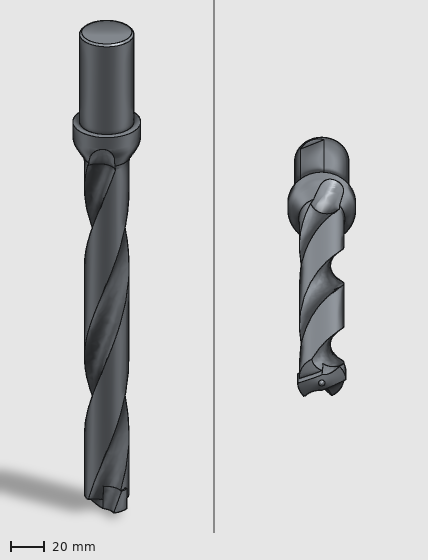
import cadquery as cq

length = 318.0

shank_radius = 16.05
shank_chamfer = 1.3
flat_depth = 2.0
flat_top_gap = 3.0
flat_bottom_gap = 2.2

collar_radius = 20.0
collar_top = 258.2
collar_bottom = 250.3
taper_mid_radius = 18.0
taper_mid_z = 242.5
taper_bottom = 235.3
neck_radius = 13.7
neck_bottom = 232.5

body_radius = 13.2
body_edge_z = 10.0
body_center_z = 7.3

flute_count = 2
flute_pitch = 224.5
flute_level_z = 42.3
flute_radius = 10.2
core_radius = 5.0
flute_center_radius = core_radius + flute_radius
flute_start = -3.2
flute_end = neck_bottom
runout_height = 25.5
runout_outward = 0.8
runout_sideways = 0.35

blade_radius = 14.3
blade_thickness = 9.2
blade_top = 17.5
blade_edge_z = 4.0
blade_center_z = 1.5
pilot_radius = 2.0
blade_slope = (blade_edge_z - blade_center_z) / blade_radius
pilot_base_z = blade_center_z + blade_slope * pilot_radius


def flute_angle(z):
    """Direction, in degrees, that the first flute faces at height z."""
    return 360.0 * (z - flute_level_z) / flute_pitch


def make_flute(index):
    """Return the helical cutter and its oblique run-out for one flute."""
    offset = 360.0 * index / flute_count
    twist = flute_angle(flute_end) - flute_angle(flute_start)
    helix = (
        cq.Workplane("XY")
        .moveTo(flute_center_radius, 0)
        .circle(flute_radius)
        .twistExtrude(flute_end - flute_start, twist)
        .rotate((0, 0, 0), (0, 0, 1), flute_angle(flute_start) + offset)
        .translate((0, 0, flute_start))
    )
    section = cq.Wire.makeCircle(
        flute_radius, cq.Vector(flute_center_radius, 0, flute_end), cq.Vector(0, 0, 1)
    )
    travel = cq.Vector(runout_outward, runout_sideways, 1) * runout_height
    runout = cq.Workplane(cq.Solid.extrudeLinear(section, [], travel)).rotate(
        (0, 0, 0), (0, 0, 1), flute_angle(flute_end) + offset
    )
    return [helix, runout]


def make_plate():
    """Flat plate along X that fills both the blade and its slot."""
    return cq.Workplane("XY").box(
        2 * blade_radius, blade_thickness, blade_top, centered=(True, True, False)
    )


def make_blade_blank():
    """Pointed round blank trimmed to a flat plate along X."""
    blank = (
        cq.Workplane("XZ")
        .polyline([
            (0, 0),
            (pilot_radius, pilot_base_z),
            (blade_radius, blade_edge_z),
            (blade_radius, blade_top),
            (0, blade_top),
        ])
        .close()
        .revolve(360, (0, 0, 0), (0, 1, 0))
    )
    return blank.intersect(make_plate())


def make_holder_blank():
    """Turned shape of the shank, collar, taper and body."""
    return (
        cq.Workplane("XZ")
        .moveTo(0, body_center_z)
        .lineTo(body_radius, body_edge_z)
        .lineTo(body_radius, neck_bottom)
        .lineTo(neck_radius, taper_bottom)
        .lineTo(taper_mid_radius, taper_mid_z)
        .tangentArcPoint((collar_radius, collar_bottom), relative=False)
        .lineTo(collar_radius, collar_top)
        .lineTo(shank_radius, collar_top)
        .lineTo(shank_radius, length - shank_chamfer)
        .lineTo(shank_radius - shank_chamfer, length)
        .lineTo(0, length)
        .close()
        .revolve(360, (0, 0, 0), (0, 1, 0))
    )


def make_shank_flat():
    """Cutter for the +Y flat, with 45 degree ends."""
    floor = shank_radius - flat_depth
    bottom = collar_top + flat_bottom_gap
    top = length - flat_top_gap
    return (
        cq.Workplane("YZ")
        .polyline([
            (shank_radius, bottom),
            (shank_radius, top),
            (floor, top - flat_depth),
            (floor, bottom + flat_depth),
        ])
        .close()
        .extrude(shank_radius, both=True)
    )


flutes = []
for flute_index in range(flute_count):
    flutes.extend(make_flute(flute_index))

holder = make_holder_blank().cut(make_shank_flat())
blade = make_blade_blank()

holder = holder.cut(make_plate())

for flute in flutes:
    holder = holder.cut(flute)
    blade = blade.cut(flute)

result = cq.Compound.makeCompound([holder.solids().val(), blade.solids().val()])